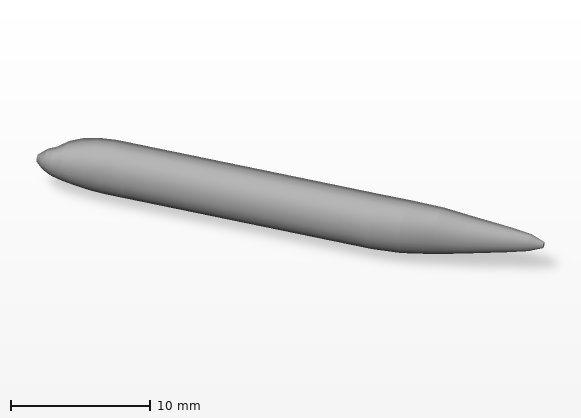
import cadquery as cq

total_length = 37.5
body_width = 4.05
body_height = 3.95
body_half_width = body_width / 2
body_half_height = body_height / 2

nose_sections = [
    (0.0, -0.9, -0.38, 0.3),
    (0.45, -1.3, 0.08, 0.65),
    (0.68, -1.43, 0.23, 0.83),
    (1.25, -1.65, 0.4, 1.1),
    (2.03, -1.8, 1.2, 1.43),
    (2.93, -1.9, 1.7, 1.65),
    (4.05, -2.0, 1.9, 1.88),
]
body_sections = [
    (distance, -body_half_width, body_half_width, body_half_height)
    for distance in (5.33, 6.9, 22.88, 25.35)
]
tail_sections = [
    (27.5, -1.8, body_half_width, 1.95),
    (29.95, -1.25, body_half_width, 1.75),
    (32.07, -0.8, 2.0, 1.35),
    (35.05, 0.05, 1.85, 0.9),
    (36.5, 0.5, 1.7, 0.65),
    (total_length, 0.9, 1.35, 0.23),
]


def section_wire(distance, low_y, high_y, half_height):
    """Closed elliptical wire normal to X, with its seam on the -Y side."""
    centre = cq.Vector(distance - total_length / 2, (low_y + high_y) / 2, 0)
    half_width = (high_y - low_y) / 2
    across = cq.Vector(0, -1, 0)
    upright = cq.Vector(0, 0, 1)
    along = cq.Vector(1, 0, 0)
    seam_turn = 90
    if half_width >= half_height:
        ellipse = cq.Edge.makeEllipse(half_width, half_height, centre, along, across)
    else:
        ellipse = cq.Edge.makeEllipse(
            half_height, half_width, centre, along, upright, angle1=seam_turn, angle2=seam_turn + 360
        )
    return cq.Wire.assembleEdges([ellipse])


sections = nose_sections + body_sections + tail_sections
wires = [section_wire(*section) for section in sections]
hull = cq.Solid.makeLoft(wires, ruled=True)

result = cq.Workplane("XY").newObject([hull])